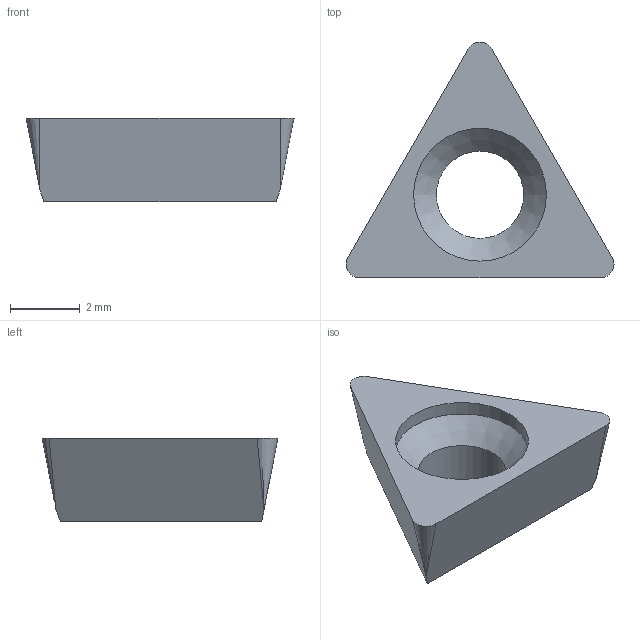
import cadquery as cq
import math

inscribed_diameter = 4.76
thickness = 2.38
nose_radius = 0.397
clearance_angle = 11.0

hole_diameter = 2.5
seat_diameter = 3.8
seat_land_depth = 0.4
seat_angle = 45.0

corner_angles = (90, 210, 330)
tangent_angle = 60

inscribed_radius = inscribed_diameter / 2
corner_distance = inscribed_radius / math.cos(math.radians(tangent_angle))
corner_reach = nose_radius / math.cos(math.radians(tangent_angle))
nose_center_distance = corner_distance - corner_reach
nose_height = nose_radius / math.tan(math.radians(clearance_angle))
seat_cone_depth = (seat_diameter - hole_diameter) / 2 / math.tan(math.radians(seat_angle))


def polar(distance, angle):
    """XY coordinates of a point given by distance and angle in degrees."""
    return (
        distance * math.cos(math.radians(angle)),
        distance * math.sin(math.radians(angle)),
    )


def make_sharp_body():
    """Triangular block whose flanks lean inward from the top face to the bottom."""
    return (
        cq.Workplane("XY")
        .workplane(offset=thickness)
        .polyline([polar(corner_distance, angle) for angle in corner_angles])
        .close()
        .extrude(-thickness, taper=clearance_angle)
    )


def make_corner_block(angle):
    """Kite-shaped prism that holds the sharp corner above the point of the nose cone."""
    center_x, center_y = polar(nose_center_distance, angle)
    outline = [(center_x, center_y)]
    for direction, reach in (
        (angle - tangent_angle, nose_radius),
        (angle, corner_reach),
        (angle + tangent_angle, nose_radius),
    ):
        offset_x, offset_y = polar(reach, direction)
        outline.append((center_x + offset_x, center_y + offset_y))
    return (
        cq.Workplane("XY")
        .workplane(offset=thickness)
        .polyline(outline)
        .close()
        .extrude(-nose_height)
    )


def make_nose(angle):
    """Sector of a cone, tangent to both flanks, that comes to a point on the corner edge."""
    center_x, center_y = polar(nose_center_distance, angle)
    return (
        cq.Workplane("XZ")
        .polyline([
            (0, thickness),
            (nose_radius, thickness),
            (0, thickness - nose_height),
        ])
        .close()
        .revolve(2 * tangent_angle, (0, 0, 0), (0, 1, 0))
        .rotate((0, 0, 0), (0, 0, 1), angle - tangent_angle)
        .translate((center_x, center_y, 0))
    )


def make_screw_hole():
    """Through hole with a short cylindrical land above a conical screw seat."""
    seat_radius = seat_diameter / 2
    hole_radius = hole_diameter / 2
    land_bottom = thickness - seat_land_depth
    return (
        cq.Workplane("XZ")
        .polyline([
            (0, 0),
            (hole_radius, 0),
            (hole_radius, land_bottom - seat_cone_depth),
            (seat_radius, land_bottom),
            (seat_radius, thickness),
            (0, thickness),
        ])
        .close()
        .revolve(360, (0, 0, 0), (0, 1, 0))
    )


body = make_sharp_body()
for corner_angle in corner_angles:
    body = body.cut(make_corner_block(corner_angle))
    body = body.union(make_nose(corner_angle))

result = body.cut(make_screw_hole())